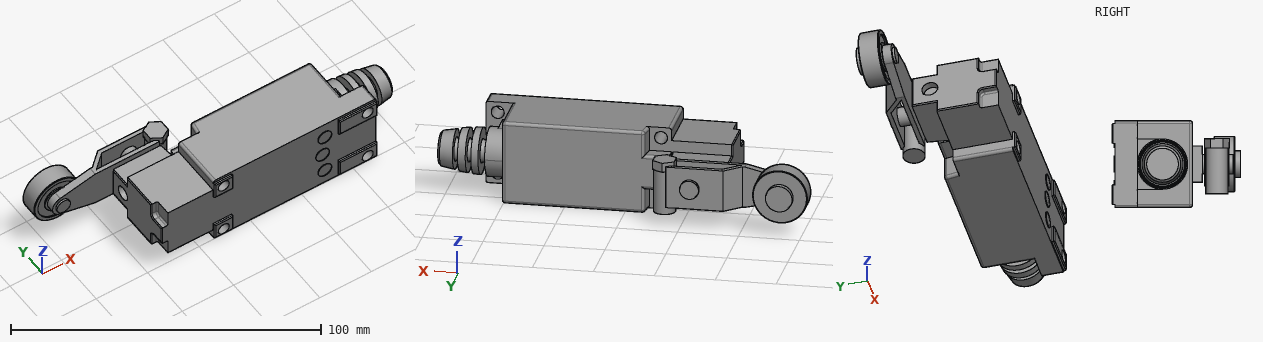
import cadquery as cq
import math


total_length = 124.7
total_depth = 41.5

body_start = 48.0
body_end = 111.4
body_height = 28.0
body_front = 1.0
body_back = 26.0
body_rounding = 1.0
flange_rounding = 0.7
cover_end = 102.8
flange_back = 8.2
shoulder_y = 21.0
notch_length = 7.2
notch_slant = 1.0
tongue_half_width = 5.9
cut_overrun = 1.2

pad_inner_z = 6.6
pad_outer_z = 13.1
pad_chamfer = 0.4
front_pad_length = 7.2
rear_pad_length = 14.8
mount_hole_diameter = 4.2
mount_hole_x = (51.5, 107.5)
mount_hole_z = 10.5

mark_diameter = 5.2
mark_height = 0.2
mark_centres = ((91.4, 8.0), (90.5, 0), (91.4, -8.0))

head_start = 27.9
head_end = 47.6
head_width = 19.5
head_front = body_front
neck_width = 11.7
neck_back = 29.2
neck_taper = 1.0
head_chamfer = 0.4
corner_pocket_depth = 2.5
corner_pocket_back = 7.0
corner_pocket_z = 3.7
corner_pocket_radius = 1.5
corner_pocket_floor_fillet = 0.6
pin_hole_diameter = 5.2
pin_hole_y = 23.2
pin_hole_depth = 2.5

roller_radius = 9.0
roller_x = roller_radius
roller_front = 32.9
roller_back = 39.7
roller_chamfer = 0.2
roller_recess_radius = 7.5
roller_recess_depth = 0.5
roller_boss_radius = 4.7
hub_radius = 4.4
rivet_radius = 2.6
rivet_front = 29.2

lever_front = 29.9
strap_thickness = 1.5
lever_back = 37.8
lever_tip_radius = 3.9
lever_half_width = 7.0
lever_taper_end = 21.7
bend_start = 22.6
bend_end = 27.9
strap_end = 46.8
shaft_x = 38.9
shaft_radius = 3.1
shaft_back = 39.0

bolt_x = 47.9
bolt_radius = 3.6
bolt_bottom = -9.6
bolt_head_bottom = 5.1
bolt_head_top = 8.2
bolt_head_corner_diameter = 8.1

gland_y = 16.3
collar_radius = 8.1
collar_end = 108.7
saddle_end = 105.9
gland_neck_radius = 4.0
gland_cove_radius = 0.5
gland_ridges = ((111.0, 113.4, 7.7, 7.6), (115.2, 117.8, 7.4, 7.1))
gland_tip_start = 119.6
gland_tip_radius = 6.6
gland_end_radius = 5.9
gland_tip_chamfer = 0.7


def box(x0, x1, y0, y1, z0, z1):
    return cq.Workplane("XY").box(x1 - x0, y1 - y0, z1 - z0, centered=False).translate((x0, y0, z0))


def rod_y(x, z, radius, y0, y1):
    """Round bar parallel to Y."""
    return cq.Workplane("XZ", origin=(x, y0, z)).circle(radius).extrude(y0 - y1)


def make_housing():
    half = body_height / 2
    cover = box(body_start, cover_end, body_front, body_back, -half, half)
    notch_end = body_start + notch_length
    notch_outline = [
        (body_start - cut_overrun, shoulder_y),
        (notch_end, shoulder_y),
        (notch_end + notch_slant, body_back + cut_overrun),
        (body_start - cut_overrun, body_back + cut_overrun),
    ]
    for z0 in (tongue_half_width, -half):
        notch = cq.Workplane("XY", origin=(0, 0, z0)).polyline(notch_outline).close()
        cover = cover.cut(notch.extrude(half - tongue_half_width))
    corners = cover.faces("<Z or >Z").edges("not |X")
    cover = corners.add(cover.faces(">Y").edges()).fillet(body_rounding)

    flange = box(body_start + body_rounding, body_end, body_front, flange_back, -half, half)
    return cover.union(flange.edges(">X and |Y").fillet(flange_rounding))


def make_pads():
    pads = cq.Workplane("XY")
    spans = (
        (body_start, body_start + front_pad_length),
        (body_end - rear_pad_length, body_end),
    )
    for x0, x1 in spans:
        for z0 in (pad_inner_z, -pad_outer_z):
            pad = box(x0, x1, 0, body_front, z0, z0 + pad_outer_z - pad_inner_z)
            pads = pads.union(pad.faces("<Y").chamfer(pad_chamfer))
    return pads


def make_marks():
    marks = cq.Workplane("XY")
    for x, z in mark_centres:
        marks = marks.union(rod_y(x, z, mark_diameter / 2, body_front - mark_height, body_front))
    return marks


def make_head():
    half = head_width / 2
    head = box(head_start, body_start + body_rounding, head_front, shoulder_y, -half, half)
    neck = (
        cq.Workplane("XY", origin=(0, 0, -neck_width / 2))
        .moveTo(head_start, head_front)
        .lineTo(head_end, head_front)
        .lineTo(head_end, shoulder_y)
        .lineTo(head_end - neck_taper, neck_back)
        .lineTo(head_start, neck_back)
        .close()
        .extrude(neck_width)
    )
    head = head.union(neck)
    pocket_end = head_start + corner_pocket_depth
    for z0 in (corner_pocket_z, -half):
        inner_edge = "<Z" if z0 > 0 else ">Z"
        pocket = box(head_start, pocket_end, head_front, corner_pocket_back, z0, z0 + half - corner_pocket_z)
        pocket = pocket.edges(">Y and |X").edges(inner_edge).fillet(corner_pocket_radius)
        pocket = pocket.faces(">X").edges(">Y").fillet(corner_pocket_floor_fillet)
        head = head.cut(pocket)
    pin_hole = (
        cq.Workplane("YZ", origin=(head_start, pin_hole_y, 0))
        .circle(pin_hole_diameter / 2)
        .extrude(pin_hole_depth)
    )
    return head.faces("<X").chamfer(head_chamfer).cut(pin_hole)


def make_roller():
    roller = rod_y(roller_x, 0, roller_radius, roller_front, roller_back)
    roller = roller.faces("<Y or >Y").chamfer(roller_chamfer)
    recess_floor = roller_front + roller_recess_depth
    recess = rod_y(roller_x, 0, roller_recess_radius, roller_front, recess_floor)
    boss = rod_y(roller_x, 0, roller_boss_radius, roller_front, recess_floor)
    hub = rod_y(roller_x, 0, hub_radius, roller_back, total_depth)
    rivet = rod_y(roller_x, 0, rivet_radius, rivet_front, roller_front)
    return roller.cut(recess).union(boss).union(hub).union(rivet)


def make_lever():
    joint_back = lever_front + 2 * strap_thickness
    bend_angle = math.atan2(lever_back - joint_back, bend_end - bend_start)
    bend_shift = strap_thickness * math.tan(bend_angle / 2)
    inner_front = lever_front + strap_thickness
    inner_back = lever_back - strap_thickness
    profile = (
        cq.Workplane("XY", origin=(0, 0, -lever_half_width))
        .moveTo(0, lever_front)
        .lineTo(strap_end, lever_front)
        .lineTo(strap_end, inner_front)
        .lineTo(bend_start + bend_shift, inner_front)
        .lineTo(bend_end + bend_shift, inner_back)
        .lineTo(strap_end, inner_back)
        .lineTo(strap_end, lever_back)
        .lineTo(bend_end, lever_back)
        .lineTo(bend_start, joint_back)
        .lineTo(0, joint_back)
        .close()
        .extrude(2 * lever_half_width)
    )
    reach = lever_taper_end - roller_x
    corner_distance = math.hypot(reach, lever_half_width)
    tangent_angle = math.atan2(lever_half_width, reach) + math.acos(lever_tip_radius / corner_distance)
    tangent_x = roller_x + lever_tip_radius * math.cos(tangent_angle)
    tangent_z = lever_tip_radius * math.sin(tangent_angle)
    outline = (
        cq.Workplane("XZ", origin=(0, lever_front, 0))
        .moveTo(tangent_x, tangent_z)
        .threePointArc((roller_x - lever_tip_radius, 0), (tangent_x, -tangent_z))
        .lineTo(lever_taper_end, -lever_half_width)
        .lineTo(strap_end, -lever_half_width)
        .lineTo(strap_end, lever_half_width)
        .lineTo(lever_taper_end, lever_half_width)
        .close()
        .extrude(lever_front - lever_back)
    )
    shaft = rod_y(shaft_x, 0, shaft_radius, neck_back, shaft_back)
    return profile.intersect(outline).union(shaft)


def make_clamp_bolt():
    bolt_y = (lever_front + lever_back) / 2
    shank = (
        cq.Workplane("XY", origin=(bolt_x, bolt_y, bolt_bottom))
        .circle(bolt_radius)
        .extrude(bolt_head_bottom - bolt_bottom)
    )
    head = (
        cq.Workplane("XY", origin=(bolt_x, bolt_y, bolt_head_bottom))
        .transformed(rotate=(0, 0, 90))
        .polygon(6, bolt_head_corner_diameter)
        .extrude(bolt_head_top - bolt_head_bottom)
    )
    return shank.union(head)


def make_gland():
    profile = (
        cq.Workplane("XY")
        .moveTo(cover_end, 0)
        .lineTo(cover_end, collar_radius)
        .lineTo(collar_end, collar_radius)
    )
    neck_start = collar_end
    tip = (gland_tip_start, total_length, gland_tip_radius, gland_end_radius)
    for start, end, start_radius, end_radius in (*gland_ridges, tip):
        profile = (
            profile.lineTo(neck_start, gland_neck_radius)
            .threePointArc(
                ((neck_start + start) / 2, gland_neck_radius - gland_cove_radius),
                (start, gland_neck_radius),
            )
            .lineTo(start, start_radius)
        )
        if end < total_length:
            profile = profile.lineTo(end, end_radius)
        else:
            profile = profile.lineTo(end - gland_tip_chamfer, end_radius)
            profile = profile.lineTo(end, end_radius - gland_tip_chamfer)
        neck_start = end
    gland = (
        profile.lineTo(total_length, 0)
        .close()
        .revolve(360, (0, 0, 0), (1, 0, 0))
        .translate((0, gland_y, 0))
    )
    saddle = box(cover_end, saddle_end, flange_back, gland_y, -collar_radius, collar_radius)
    return gland.union(saddle)


def make_mounting_holes():
    holes = cq.Workplane("XY")
    for x in mount_hole_x:
        for z in (mount_hole_z, -mount_hole_z):
            holes = holes.union(rod_y(x, z, mount_hole_diameter / 2, 0, body_back))
    return holes


result = make_housing()
for feature in (make_pads(), make_marks()):
    result = result.union(feature)
result = result.cut(make_mounting_holes())
for feature in (make_head(), make_roller(), make_lever(), make_clamp_bolt(), make_gland()):
    result = result.union(feature)